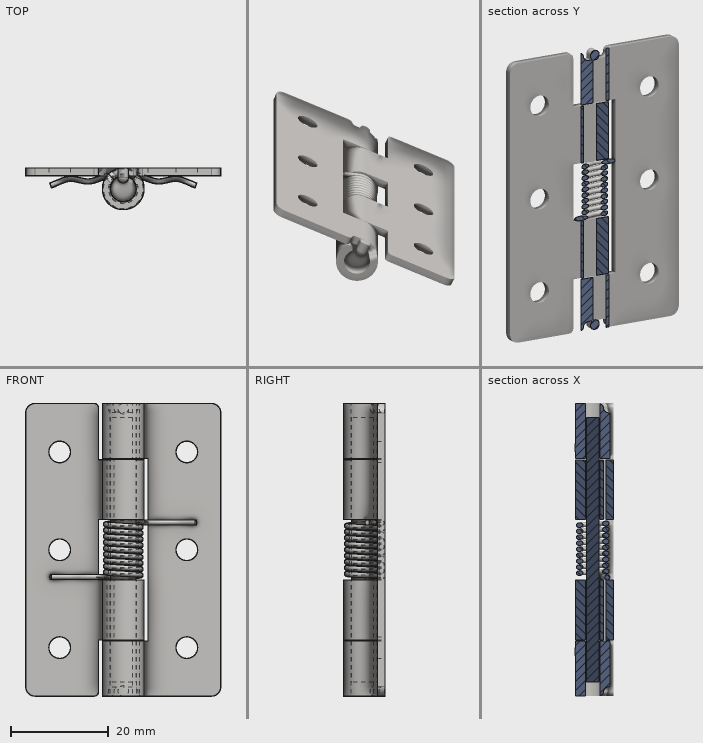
import cadquery as cq
import math

LENGTH = 60.0
HALF_LENGTH = LENGTH / 2
HALF_WIDTH = 40.0 / 2
SHEET = 1.6
KNUCKLE_RADIUS = 8.6 / 2
BORE_RADIUS = KNUCKLE_RADIUS - SHEET
PLATE_EDGE = 5.05
OUTER_CORNER_RADIUS = 2.0
INNER_CORNER_RADIUS = 0.95
CURL_END_ANGLE = 45.0

MIDDLE_KNUCKLE_START = 6.2
MIDDLE_KNUCKLE_END = 18.5
KNUCKLE_GAP = 0.2
END_KNUCKLE_START = MIDDLE_KNUCKLE_END + KNUCKLE_GAP

HOLE_DIAMETER = 4.4
HOLE_X = 13.0
HOLE_PITCH = 20.05

STRIP_NOTCH_WALL = 3.0
CURL_NOTCH_ANGLE = 45.0
NOTCH_DEPTH = 1.9
NOTCH_FLOOR_RADIUS = 0.9
STAKE_RADIUS = 1.1
STAKE_NOSE_Y = 2.3

PIN_RADIUS = 2.65
PIN_RECESS = 2.9

WIRE_RADIUS = 0.55
COIL_RADIUS = 3.55
COIL_HALF_HEIGHT = 5.6
LEG_ANGLE = 72.0
WHOLE_TURNS = 9
LEG_BENDS = [(4.3, 2.3), (7.25, 1.5), (10.85, 2.05), (14.9, 0.65)]


def knuckle(z_start, z_end):
    """Curled sheet with the strip that joins it to a plate on the +X side."""
    height = z_end - z_start
    angle = math.radians(CURL_END_ANGLE)
    cos_end = math.cos(angle)
    sin_end = math.sin(angle)
    curl = (
        cq.Workplane("XY", origin=(0, 0, z_start))
        .moveTo(0, KNUCKLE_RADIUS)
        .threePointArc(
            (-KNUCKLE_RADIUS * sin_end, -KNUCKLE_RADIUS * cos_end),
            (KNUCKLE_RADIUS * cos_end, KNUCKLE_RADIUS * sin_end),
        )
        .lineTo(BORE_RADIUS * cos_end, BORE_RADIUS * sin_end)
        .threePointArc((-BORE_RADIUS * sin_end, -BORE_RADIUS * cos_end), (0, BORE_RADIUS))
        .close()
        .extrude(height)
    )
    strip = cq.Workplane("XY", origin=(0, BORE_RADIUS, z_start)).box(
        PLATE_EDGE, SHEET, height, centered=False
    )
    return curl.union(strip)


def plate():
    """Flat plate on the +X side with three screw holes."""
    width = HALF_WIDTH - PLATE_EDGE
    body = (
        cq.Workplane("XY")
        .box(width, SHEET, LENGTH)
        .translate((PLATE_EDGE + width / 2, BORE_RADIUS + SHEET / 2, 0))
        .edges("|Y and >X")
        .fillet(OUTER_CORNER_RADIUS)
    )
    holes = (
        cq.Workplane("XZ")
        .pushPoints([(HOLE_X, row * HOLE_PITCH) for row in (-1, 0, 1)])
        .circle(HOLE_DIAMETER / 2)
        .extrude(-2 * KNUCKLE_RADIUS)
    )
    return body.cut(holes)


def notch_side(wall_x):
    """Prism along Y, open to the -X side, with a filleted wall and rounded shoulder at wall_x."""
    floor_z = HALF_LENGTH - NOTCH_DEPTH
    bend_offset = INNER_CORNER_RADIUS * math.sqrt(0.5)
    floor_offset = NOTCH_FLOOR_RADIUS * (1 - math.sqrt(0.5))
    shoulder_x = wall_x + INNER_CORNER_RADIUS
    shoulder_z = HALF_LENGTH - INNER_CORNER_RADIUS
    return (
        cq.Workplane("XZ")
        .moveTo(-2 * KNUCKLE_RADIUS, HALF_LENGTH)
        .lineTo(-2 * KNUCKLE_RADIUS, floor_z)
        .lineTo(wall_x - NOTCH_FLOOR_RADIUS, floor_z)
        .threePointArc(
            (wall_x - floor_offset, floor_z + floor_offset),
            (wall_x, floor_z + NOTCH_FLOOR_RADIUS),
        )
        .lineTo(wall_x, shoulder_z)
        .threePointArc(
            (shoulder_x - bend_offset, shoulder_z + bend_offset),
            (shoulder_x, HALF_LENGTH),
        )
        .close()
        .extrude(-2 * KNUCKLE_RADIUS)
    )


def stake_notch():
    """Notch across the joining strip and the adjacent part of the upper curl."""
    zone_base = cq.Workplane("XY", origin=(0, 0, HALF_LENGTH - NOTCH_DEPTH))
    strip_zone = zone_base.center(0, BORE_RADIUS).rect(
        PLATE_EDGE, SHEET, centered=False
    ).extrude(NOTCH_DEPTH)
    curl_zone = zone_base.rect(-KNUCKLE_RADIUS, KNUCKLE_RADIUS, centered=False).extrude(NOTCH_DEPTH)
    curl_side = notch_side(0).mirror("YZ").rotate((0, 0, 0), (0, 0, 1), CURL_NOTCH_ANGLE)
    strip_cut = notch_side(STRIP_NOTCH_WALL).intersect(strip_zone)
    return strip_cut.union(curl_side.intersect(curl_zone))


def stake():
    """Round-topped finger along Y whose ball nose overhangs the upper pin end."""
    centre_z = HALF_LENGTH - STAKE_RADIUS
    finger = (
        cq.Workplane("XZ", origin=(0, STAKE_NOSE_Y, centre_z))
        .circle(STAKE_RADIUS)
        .extrude(-KNUCKLE_RADIUS)
    )
    web = cq.Workplane("XY").box(2 * STAKE_RADIUS, SHEET, NOTCH_DEPTH - STAKE_RADIUS).translate(
        (0, BORE_RADIUS + SHEET / 2, centre_z - (NOTCH_DEPTH - STAKE_RADIUS) / 2)
    )
    nose = cq.Workplane("XY").sphere(STAKE_RADIUS).translate((0, STAKE_NOSE_Y, centre_z))
    outer_limit = (
        cq.Workplane("XY", origin=(0, 0, HALF_LENGTH - 2 * NOTCH_DEPTH))
        .circle(KNUCKLE_RADIUS)
        .extrude(2 * NOTCH_DEPTH)
    )
    return finger.union(web).union(nose).intersect(outer_limit)


def make_end_knuckle_leaf():
    """Leaf on the +X side with staked knuckles at both ends."""
    upper = knuckle(END_KNUCKLE_START, HALF_LENGTH).cut(stake_notch()).union(stake())
    return plate().union(upper).union(upper.mirror("XY"))


def make_middle_knuckle_leaf():
    """Leaf on the -X side with a knuckle on each side of the spring."""
    leaf = plate().edges("|Y and <X").fillet(INNER_CORNER_RADIUS)
    upper = knuckle(MIDDLE_KNUCKLE_START, MIDDLE_KNUCKLE_END)
    return leaf.union(upper).union(upper.mirror("XY")).mirror("YZ")


def make_pin():
    half_pin = HALF_LENGTH - PIN_RECESS
    return cq.Workplane("XY", origin=(0, 0, -half_pin)).circle(PIN_RADIUS).extrude(2 * half_pin)


def make_spring():
    """Coil joined to two bent legs, symmetric under a half turn about the Y axis."""
    height = 2 * COIL_HALF_HEIGHT
    turns = WHOLE_TURNS + (180 - 2 * LEG_ANGLE) / 360
    pitch = height / turns
    coil = (
        cq.Wire.makeHelix(pitch, height, COIL_RADIUS, lefthand=True)
        .rotate(cq.Vector(0, 0, 0), cq.Vector(0, 0, 1), 180 - LEG_ANGLE)
        .translate(cq.Vector(0, 0, -COIL_HALF_HEIGHT))
    )
    angle = math.radians(LEG_ANGLE)
    coil_end = cq.Vector(
        COIL_RADIUS * math.cos(angle), COIL_RADIUS * math.sin(angle), COIL_HALF_HEIGHT
    )
    rise = pitch / (2 * math.pi * COIL_RADIUS)
    end_direction = cq.Vector(math.sin(angle), -math.cos(angle), rise).normalized()
    leg_points = [coil_end] + [cq.Vector(x, y, COIL_HALF_HEIGHT) for x, y in LEG_BENDS]
    last_direction = (leg_points[-1] - leg_points[-2]).normalized()
    leg_path = cq.Edge.makeSpline(leg_points, tangents=[end_direction, last_direction])

    upper_section = cq.Wire.makeCircle(WIRE_RADIUS, coil_end, end_direction)
    lower_section = upper_section.rotate(cq.Vector(0, 0, 0), cq.Vector(0, 1, 0), 180)
    upper_leg = cq.Solid.sweep(upper_section, [], cq.Wire.assembleEdges([leg_path]))
    lower_leg = upper_leg.rotate(cq.Vector(0, 0, 0), cq.Vector(0, 1, 0), 180)
    wound_wire = cq.Solid.sweep(lower_section, [], coil, isFrenet=True)
    return cq.Workplane("XY").add(wound_wire).union(upper_leg).union(lower_leg)


end_knuckle_leaf = make_end_knuckle_leaf()
middle_knuckle_leaf = make_middle_knuckle_leaf()
pin = make_pin()
spring = make_spring()

result = cq.Compound.makeCompound([
    end_knuckle_leaf.val(),
    middle_knuckle_leaf.val(),
    pin.val(),
    spring.val(),
])